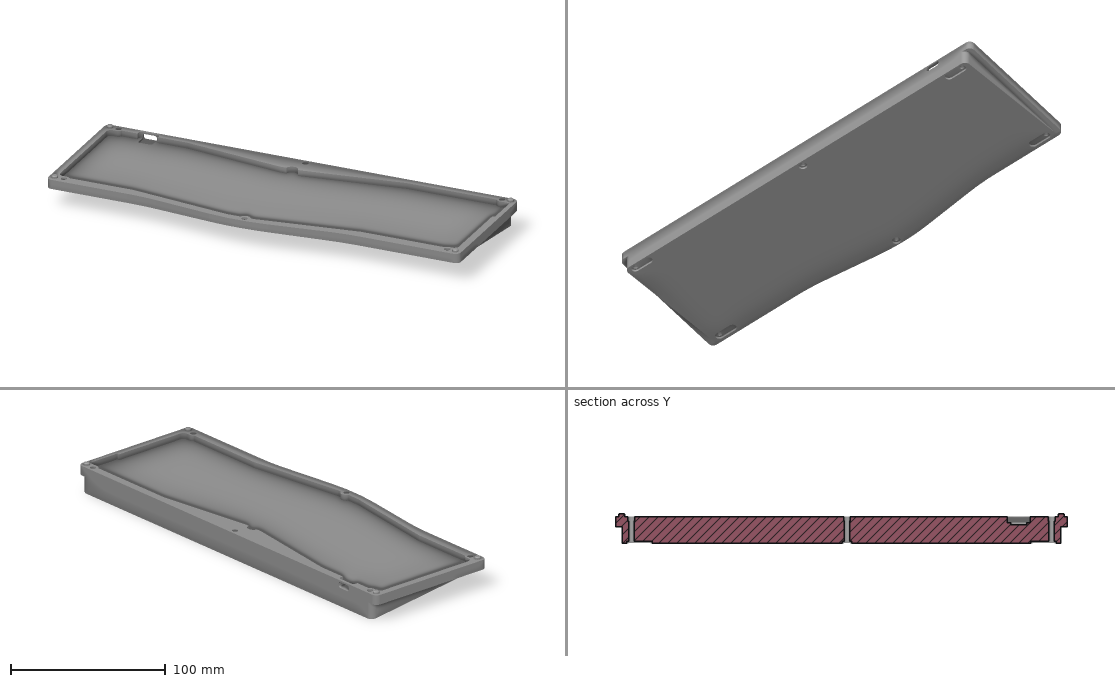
import cadquery as cq
import math

length = 292.5
depth = 103.5
total_height = 20.0

pin_height = 1.8
plate_top = total_height - pin_height
plate_thickness = 6.7
plate_bottom = plate_top - plate_thickness
corner_radius = 3.8
back_y = depth / 2
front_y = -43.5
bulge_x = -6.7
outer_bend = 71.5
nose_half = 21.0
bend_half = 10.8

base_inset = 4.0
tilt = 7

floor_z = 14.0
pocket_height = plate_top - floor_z
pocket_left = -141.5
pocket_right = 141.3
pocket_back = 46.2
pocket_front = -36.3
pocket_shift = 10.0
pocket_slope = math.radians(8)
front_wall_x = -7.0
front_flat_half = 10.0
back_wall_x = -8.8
back_flat_half = 7.3
pocket_corner_radius = 3.2
relief_depth = 1.8
relief_front = 21.0
notch_x = -7.5
notch_diameter = 8.2
notch_inset = 0.5

hole_diameter = 3.2
insert_diameter = 4.0
insert_depth = 3.0
corner_boss_diameter = 7.0
middle_boss_diameter = 8.2
hole_x = 136.0
middle_hole_x = -3.5
hole_back_y = 48.0
hole_front_y = -38.3
middle_hole_front_y = -48.0

recess_diameter = 5.9
recess_length = 16.5
recess_depth = 1.5

pin_diameter = 4.0
pin_chamfer = 0.5
pin_x = 142.2
pin_back_y = 48.0
pin_front_y = -39.2

port_x = -114.7
port_width = 10.0
port_height = 4.0
port_front = 41.8
port_recess = 1.2
port_corner_radius = 1.5
bay_width = 14.3
bay_back = 49.7
bay_radius = 1.8

corner_holes = [(s * hole_x, y) for s in (-1, 1) for y in (hole_back_y, hole_front_y)]
middle_holes = [(middle_hole_x, hole_back_y), (middle_hole_x, middle_hole_front_y)]
pin_points = [(s * pin_x, y) for s in (-1, 1) for y in (pin_back_y, pin_front_y)]


def block(x_min, x_max, y_min, y_max, z_min, z_max):
    size = (x_max - x_min, y_max - y_min, z_max - z_min)
    return cq.Workplane("XY").box(*size, centered=False).translate((x_min, y_min, z_min))


def columns(points, diameter, bottom, top):
    sketch = cq.Workplane("XY", origin=(0, 0, bottom)).pushPoints(points)
    return sketch.circle(diameter / 2).extrude(top - bottom)


def plate_outline():
    """Rectangle whose front edge bulges forward with tangent arcs."""
    nose_y = -back_y
    slope = math.atan((front_y - nose_y) / (outer_bend - nose_half / 2))
    nose_end_y = nose_y + nose_half * math.tan(slope / 2)
    bend_drop = bend_half * math.sin(slope)
    left = -length / 2
    right = length / 2

    def at(offset, y):
        return (bulge_x + offset, y)

    bend_inner = outer_bend - bend_half * math.cos(slope)
    return (
        cq.Workplane("XY", origin=(0, 0, plate_bottom))
        .moveTo(left, back_y)
        .lineTo(left, front_y)
        .lineTo(*at(-outer_bend - bend_half, front_y))
        .tangentArcPoint(at(-bend_inner, front_y - bend_drop), relative=False)
        .lineTo(*at(-nose_half, nose_end_y))
        .threePointArc(at(0, nose_y), at(nose_half, nose_end_y))
        .lineTo(*at(bend_inner, front_y - bend_drop))
        .tangentArcPoint(at(outer_bend + bend_half, front_y), relative=False)
        .lineTo(right, front_y)
        .lineTo(right, back_y)
        .close()
    )


def round_corners(solid):
    return solid.edges("|Z and (<X or >X)").fillet(corner_radius)


def body():
    rise = depth * math.tan(math.radians(tilt))
    side = [(back_y, 0), (-back_y, rise), (-back_y, total_height), (back_y, total_height)]
    wedge = cq.Workplane("YZ").polyline(side).close().extrude(length / 2, both=True)

    plate = round_corners(plate_outline().extrude(plate_thickness)).intersect(wedge)
    base_half = length / 2 - base_inset
    base = block(-base_half, base_half, front_y, back_y, 0, plate_bottom)
    base = round_corners(base).intersect(wedge)
    return plate.union(base)


def bent_wall(middle_x, flat_half, y):
    """Wall corners from left to right; the middle stretch is stepped forward."""
    bend = flat_half + pocket_shift / math.tan(pocket_slope)
    return [
        (middle_x - bend, y),
        (middle_x - flat_half, y - pocket_shift),
        (middle_x + flat_half, y - pocket_shift),
        (middle_x + bend, y),
    ]


def corner_fill():
    """Screw bosses joined to the side walls of the pocket."""
    fill = columns(corner_holes, corner_boss_diameter, floor_z, plate_top)
    reach = corner_boss_diameter / 2
    for x, y in corner_holes:
        x_wall = math.copysign(length / 2, x)
        strip = block(min(x, x_wall), max(x, x_wall), y - reach, y + reach, floor_z, plate_top)
        fill = fill.union(strip)
    return fill


def pocket():
    front = bent_wall(front_wall_x, front_flat_half, pocket_front)
    back = bent_wall(back_wall_x, back_flat_half, pocket_back)
    points = [(pocket_left, pocket_back), (pocket_left, pocket_front), *front]
    points += [(pocket_right, pocket_front), (pocket_right, pocket_back), *reversed(back)]
    cut = cq.Workplane("XY", origin=(0, 0, floor_z)).polyline(points).close().extrude(pocket_height)
    cut = cut.cut(corner_fill())
    cut = cut.edges("|Z and (<X or >X)").fillet(pocket_corner_radius)

    relief_back = hole_back_y - corner_boss_diameter / 2
    relief = block(
        pocket_right - pocket_corner_radius, pocket_right + relief_depth,
        relief_front, relief_back, floor_z, plate_top,
    )
    notch_y = pocket_back - pocket_shift - notch_inset
    notch = columns([(notch_x, notch_y)], notch_diameter, floor_z, plate_top)
    middle_bosses = columns(middle_holes, middle_boss_diameter, floor_z, plate_top)
    return cut.union(relief).union(notch).cut(middle_bosses)


def port():
    bay_half = bay_width / 2
    half = port_width / 2
    bottom = floor_z - port_recess
    bay = block(port_x - bay_half, port_x + bay_half, port_front, bay_back, floor_z, plate_top)
    bay = bay.edges("|Z and >Y").fillet(bay_radius)
    recess = block(port_x - half, port_x + half, port_front, bay_back, bottom, floor_z)
    recess = recess.edges("|Z and <Y").fillet(port_corner_radius)
    slot = block(port_x - half, port_x + half, bay_back, back_y, bottom, bottom + port_height)
    slot = slot.edges("|Y").fillet(port_corner_radius)
    return bay.union(recess).union(slot)


def screw_holes():
    points = corner_holes + middle_holes
    holes = columns(points, hole_diameter, 0, plate_top)
    return holes.union(columns(points, insert_diameter, plate_top - insert_depth, plate_top))


def underside_recesses():
    """Flat-bottomed recesses square to the tilted underside."""
    tilt_cos = math.cos(math.radians(tilt))
    slot_shift = (recess_length - recess_diameter) / 2

    def along_tilt(y):
        return (y - back_y) / tilt_cos

    slots = [(x - math.copysign(slot_shift, x), along_tilt(y)) for x, y in corner_holes]
    rounds = [(x, along_tilt(y)) for x, y in middle_holes]
    cut = cq.Workplane("XY").pushPoints(slots).slot2D(recess_length, recess_diameter).extrude(recess_depth)
    cut = cut.union(columns(rounds, recess_diameter, 0, recess_depth))
    return cut.rotate((0, 0, 0), (1, 0, 0), -tilt).translate((0, back_y, 0))


def pins():
    return columns(pin_points, pin_diameter, plate_top, total_height).faces(">Z").chamfer(pin_chamfer)


result = body().cut(pocket()).cut(port()).cut(screw_holes()).cut(underside_recesses()).union(pins())